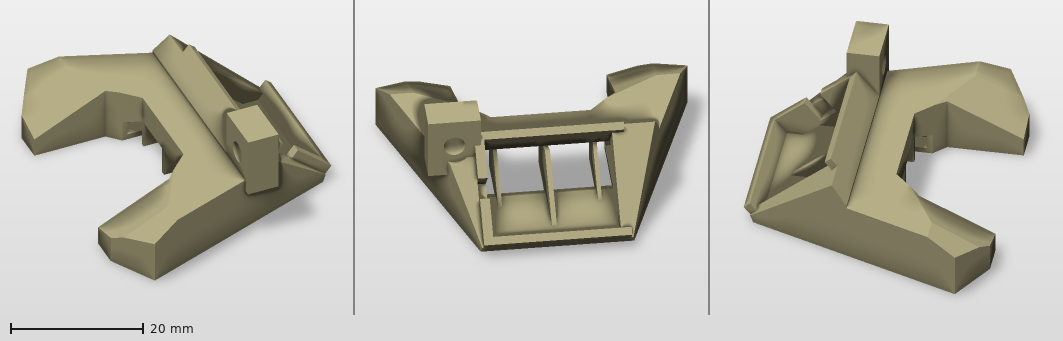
import cadquery as cq
import math

total_width = 47.5
total_depth = 38.8
total_height = 17.0
deck_height = 9.02

foot_front_half = 16.62
notch_half = 11.88
notch_depth = 16.0
notch_corner = 4.28
side_taper = 20.0
toe_angle = 30.0

foot_slope_start = 8.6
foot_slope_angle = 25.0
facet_corner_half = 18.5
facet_angle = 28.9
facet_turn = 30.0

wedge_front = 21.9
wedge_step = 0.45
wedge_face = 3.8
rear_slope = 40.0
heel_angle = 65.0

frame_height = 1.6
lip_width = 1.25
upper_lip_left = -11.5
lower_lip_left = -11.2
rail_right = 11.3
rail_width = 1.45
gap_start = 7.15
gap_length = 3.15
gap_depth = 2.3

pocket_left = -9.75
cavity_half = 9.95
cavity_mouth_height = 4.55
floor_thickness = 0.9
ramp_foot = 23.28
chamber_half = 12.6
chamber_front = 14.55

rib_pitch = 7.6
middle_rib_width = 0.75
side_rib_width = 0.6
middle_rib_end = 33.5
side_rib_end = 28.02

post_left = 10.4
post_width = 8.05
post_depth = 5.05
post_embedding = 1.9
bore_height = 12.45
bore_diameter = 3.3
clearance_diameter = 6.0

half_width = total_width / 2
toe_depth = (half_width - foot_front_half) * math.tan(math.radians(toe_angle))
slope_cos = math.cos(math.radians(rear_slope))
slope_sin = math.sin(math.radians(rear_slope))
slope_tan = math.tan(math.radians(rear_slope))
ramp_tan = math.tan(math.radians(foot_slope_angle))
mouth_y = notch_depth - notch_corner
ramp_top = ramp_foot + floor_thickness / ramp_tan
apex_y = wedge_front + wedge_face * slope_sin
apex_z = deck_height + wedge_step + wedge_face * slope_cos
rear_length = (total_depth - apex_y - frame_height * slope_sin) / slope_cos
rear_edge_y = apex_y + rear_length * slope_cos
rear_edge_z = apex_z - rear_length * slope_sin
rail_left = rail_right - rail_width
post_back = wedge_front + post_depth

rear_plane = cq.Plane(origin=(0, apex_y, apex_z), xDir=(1, 0, 0), normal=(0, slope_sin, slope_cos))


def side_extrusion(points, x_start, x_end):
    """Extrude a (y, z) outline along X."""
    return cq.Workplane("YZ").workplane(offset=x_start).polyline(points).close().extrude(x_end - x_start)


def rear_box(x_start, x_end, s_start, s_end, h_start, h_end):
    """Box in the rear-face frame: across, down the slope, out of the face."""
    return (
        cq.Workplane(rear_plane)
        .workplane(offset=h_start)
        .center((x_start + x_end) / 2, (s_start + s_end) / 2)
        .rect(x_end - x_start, s_end - s_start)
        .extrude(h_end - h_start)
    )


def make_body():
    back_half = half_width - (total_depth - toe_depth) * math.tan(math.radians(side_taper))
    right_half = [
        (notch_half - notch_corner, notch_depth),
        (notch_half, mouth_y),
        (notch_half, 0),
        (foot_front_half, 0),
        (half_width, toe_depth),
        (back_half, total_depth),
    ]
    left_half = [(-x, y) for x, y in reversed(right_half)]
    plan = cq.Workplane("XY").polyline(right_half + left_half).close().extrude(total_height)
    heel_y = rear_edge_y - rear_edge_z / math.tan(math.radians(heel_angle))
    profile = side_extrusion(
        [
            (0, 0),
            (0, deck_height - foot_slope_start * ramp_tan),
            (foot_slope_start, deck_height),
            (wedge_front, deck_height),
            (wedge_front, deck_height + wedge_step),
            (apex_y, apex_z),
            (rear_edge_y, rear_edge_z),
            (heel_y, 0),
        ],
        -half_width,
        half_width,
    )
    return plan.intersect(profile)


def facet_cutter(side):
    """Block above the facet that falls towards the notch on one foot."""
    tilt = math.radians(facet_angle)
    turn = math.radians(facet_turn)
    normal = (
        -side * math.sin(tilt) * math.sin(turn),
        -math.sin(tilt) * math.cos(turn),
        math.cos(tilt),
    )
    level_line = (-side * math.cos(turn), math.sin(turn), 0)
    corner = (side * facet_corner_half, foot_slope_start, deck_height)
    plane = cq.Plane(origin=corner, xDir=level_line, normal=normal)
    cutter = cq.Workplane(plane).rect(2 * total_width, 2 * total_width).extrude(total_width)
    inner_x = side * (notch_half - notch_corner)
    foot_zone = (
        cq.Workplane("XY")
        .center((inner_x + side * half_width) / 2, wedge_front / 2)
        .rect(half_width - abs(inner_x), wedge_front)
        .extrude(deck_height)
    )
    return cutter.intersect(foot_zone)


def make_post():
    base_z = deck_height - post_embedding
    return (
        cq.Workplane("XY", origin=(post_left, wedge_front, base_z))
        .box(post_width, post_depth, total_height - base_z, centered=False)
    )


def make_frame():
    frame = rear_box(upper_lip_left, rail_right, 0, lip_width, 0, frame_height)
    lower_lip = rear_box(lower_lip_left, rail_right, rear_length - lip_width, rear_length, 0, frame_height)
    rail = rear_box(rail_left, rail_right, 0, rear_length, 0, frame_height)
    return frame.union(lower_lip).union(rail)


def ceiling_height(y):
    """Height of the sloping ceiling over the cable space."""
    return cavity_mouth_height + (y - notch_depth) * ramp_tan


def rear_face_point(s, h=0.0):
    """(y, z) of a point given down the slope and out of the rear face."""
    return (apex_y + s * slope_cos + h * slope_sin, apex_z - s * slope_sin + h * slope_cos)


def make_pocket():
    """Through opening: square to the rear face, then forward to the notch."""
    upper_s = lip_width
    lower_s = rear_length - lip_width
    upper_y, upper_z = rear_face_point(upper_s)
    lower_z = rear_face_point(lower_s)[1]
    upper_depth = (upper_z - ceiling_height(upper_y)) / (slope_cos - slope_sin * ramp_tan)
    lower_depth = (lower_z - floor_thickness) / slope_cos
    outline = [
        rear_face_point(upper_s),
        rear_face_point(upper_s, -upper_depth),
        (mouth_y, ceiling_height(mouth_y)),
        (mouth_y, 0),
        (ramp_foot, 0),
        (ramp_top, floor_thickness),
        rear_face_point(lower_s, -lower_depth),
        rear_face_point(lower_s),
    ]
    return side_extrusion(outline, pocket_left, rail_left)


def space_under_slope(front_y, end_y, x_start, x_end):
    """Cable space above the floor level, closed behind parallel to the rear face."""
    meet_y = (
        floor_thickness + end_y * slope_tan - cavity_mouth_height + notch_depth * ramp_tan
    ) / (ramp_tan + slope_tan)
    outline = [
        (front_y, floor_thickness),
        (front_y, ceiling_height(front_y)),
        (meet_y, ceiling_height(meet_y)),
        (end_y, floor_thickness),
    ]
    return side_extrusion(outline, x_start, x_end)


def space_under_floor_level(front_y, x_start, x_end):
    """Part of the cable space in front of the ramp that leads up to the floor."""
    outline = [
        (front_y, 0),
        (front_y, floor_thickness),
        (ramp_top, floor_thickness),
        (ramp_foot, 0),
    ]
    return side_extrusion(outline, x_start, x_end)


def make_cable_space():
    passage = space_under_slope(mouth_y, middle_rib_end, -cavity_half, cavity_half)
    underside = space_under_floor_level(mouth_y, -cavity_half, cavity_half)
    chamber = space_under_slope(chamber_front, middle_rib_end, -chamber_half, chamber_half)
    return passage.union(underside).union(chamber)


def make_rib(center_x, width, end_y):
    x_start = center_x - width / 2
    x_end = center_x + width / 2
    upper = space_under_slope(notch_depth, end_y, x_start, x_end)
    return upper.union(space_under_floor_level(notch_depth, x_start, x_end))


def drill(diameter, y_start, y_end):
    """Cylinder along Y on the bore axis of the post."""
    return (
        cq.Workplane("XZ", origin=(post_left + post_width / 2, y_start, bore_height))
        .circle(diameter / 2)
        .extrude(y_start - y_end)
    )


result = make_body()
for side in (-1, 1):
    result = result.cut(facet_cutter(side))

result = result.cut(make_pocket()).cut(make_cable_space())

result = result.union(make_rib(0, middle_rib_width, middle_rib_end))
for side in (-1, 1):
    result = result.union(make_rib(side * rib_pitch, side_rib_width, side_rib_end))

result = result.union(make_frame()).union(make_post())

gap_end = gap_start + gap_length
result = result.cut(rear_box(rail_left, rail_right, gap_start, gap_end, -gap_depth, frame_height))
result = result.cut(drill(bore_diameter, wedge_front, total_depth))
result = result.cut(drill(clearance_diameter, post_back, total_depth))